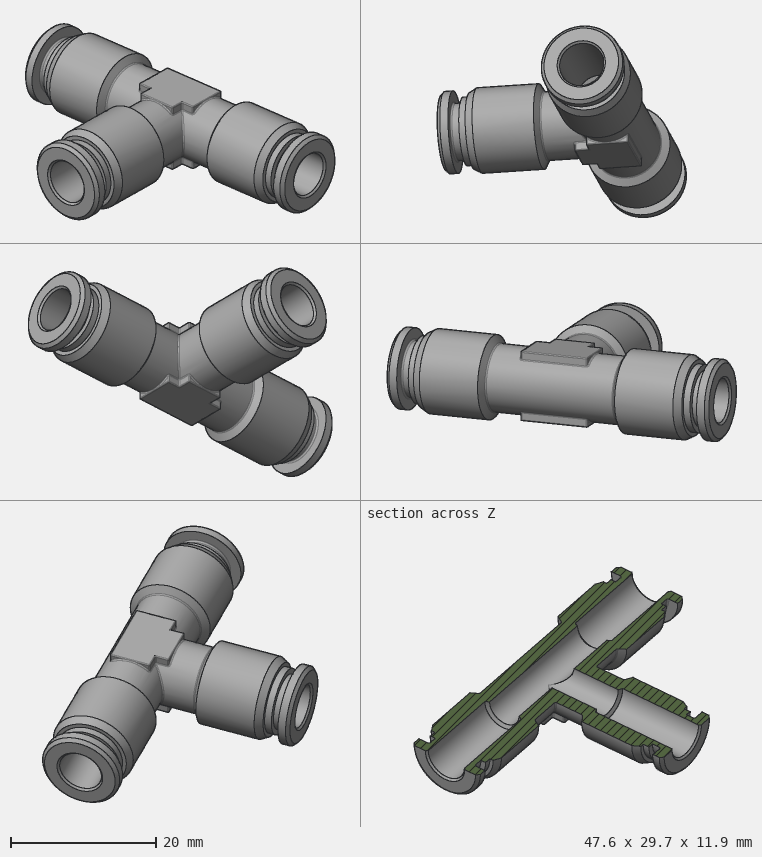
import cadquery as cq
import math

overall_length = 47.6
arm_reach = overall_length / 2

sleeve_diameter = 11.85
sleeve_radius = sleeve_diameter / 2
sleeve_lip_radius = 5.35
tube_radius = 4.75
sleeve_start = 9.42
sleeve_full_start = 10.15
sleeve_full_end = 18.75
sleeve_end = 19.85
collar_end = 20.85
sleeve_root_fillet = 0.25

neck_radius = 3.95
button_radius = 5.7
button_thickness = 1.6
button_chamfer = 0.48
neck_fillet = 0.25

bore_radius = 2.5
socket_radius = 3.1
mouth_chamfer = 0.3
socket_depth = 13.35
socket_taper_length = 0.35

pad_half_length = 4.95
pad_half_width = 2.95
pad_top = 4.95
pad_edge_fillet = 0.15
pad_corner_fillet = 0.2

inner_fillet = 0.2

selection_margin = 0.025


def arm_body():
    """Solid outer shape of one arm, revolved about +X from the crossing to its tip."""
    button_start = arm_reach - button_thickness
    profile = (
        cq.Workplane("XY")
        .lineTo(0, tube_radius)
        .lineTo(sleeve_start, tube_radius)
        .lineTo(sleeve_full_start, sleeve_radius)
        .lineTo(sleeve_full_end, sleeve_radius)
        .lineTo(sleeve_end, sleeve_lip_radius)
        .lineTo(sleeve_end, tube_radius)
        .lineTo(collar_end, tube_radius)
        .lineTo(collar_end, neck_radius)
        .lineTo(button_start - neck_fillet, neck_radius)
        .radiusArc((button_start, neck_radius + neck_fillet), -neck_fillet)
        .lineTo(button_start, button_radius)
        .lineTo(arm_reach - button_chamfer, button_radius)
        .lineTo(arm_reach, button_radius - button_chamfer)
        .lineTo(arm_reach, 0)
        .close()
    )
    body = profile.revolve(360, (0, 0, 0), (1, 0, 0))
    sleeve_root = cq.selectors.BoxSelector(
        (sleeve_start - selection_margin, -tube_radius, -tube_radius),
        (sleeve_start + selection_margin, tube_radius, tube_radius),
    )
    return body.edges(sleeve_root).fillet(sleeve_root_fillet)


def arm_bore():
    """Stepped bore of one arm: chamfered mouth, tube socket and narrower passage."""
    socket_end = arm_reach - socket_depth
    profile = (
        cq.Workplane("XY")
        .lineTo(0, bore_radius)
        .lineTo(socket_end - socket_taper_length, bore_radius)
        .lineTo(socket_end, socket_radius)
        .lineTo(arm_reach - mouth_chamfer, socket_radius)
        .lineTo(arm_reach, socket_radius + mouth_chamfer)
        .lineTo(arm_reach, 0)
        .close()
    )
    return profile.revolve(360, (0, 0, 0), (1, 0, 0))


def all_arms(make_arm):
    """Union of one arm shape pointing along +X, -X and -Y."""
    axis_end = (0, 0, 1)
    right = make_arm()
    left = right.rotate((0, 0, 0), axis_end, 180)
    branch = right.rotate((0, 0, 0), axis_end, -90)
    return right.union(left).union(branch)


def label_pads():
    """T-shaped block whose upper and lower faces stand just above the tubes."""
    bar = (
        cq.Workplane("XY")
        .box(2 * pad_half_length, 2 * pad_half_width, 2 * pad_top)
        .edges("|Z")
        .fillet(pad_corner_fillet)
    )
    stem = (
        cq.Workplane("XY")
        .box(2 * pad_half_width, pad_half_length, 2 * pad_top)
        .edges("|Z")
        .fillet(pad_corner_fillet)
        .translate((0, -pad_half_length / 2, 0))
    )
    pads = bar.union(stem)
    return pads.faces("<Z or >Z").edges().fillet(pad_edge_fillet)


def blend_inner_corners(body):
    """Fillet where the pads land on the tubes and where the branch meets the run."""
    reach = pad_half_length + selection_margin
    lowest = math.sqrt(tube_radius**2 - pad_half_width**2) - selection_margin
    highest = tube_radius + selection_margin
    upper_roots = cq.selectors.BoxSelector(
        (-reach, -reach, lowest), (reach, reach, highest), boundingbox=True
    )
    lower_roots = cq.selectors.BoxSelector(
        (-reach, -reach, -highest), (reach, reach, -lowest), boundingbox=True
    )
    root_edges = body.edges(upper_roots + lower_roots).vals()

    seam_edges = [
        edge
        for edge in body.edges().vals()
        if abs(abs(edge.Center().x) + edge.Center().y) < selection_margin
    ]
    return body.newObject(root_edges + seam_edges).fillet(inner_fillet)


body = all_arms(arm_body).union(label_pads())
result = blend_inner_corners(body).cut(all_arms(arm_bore))